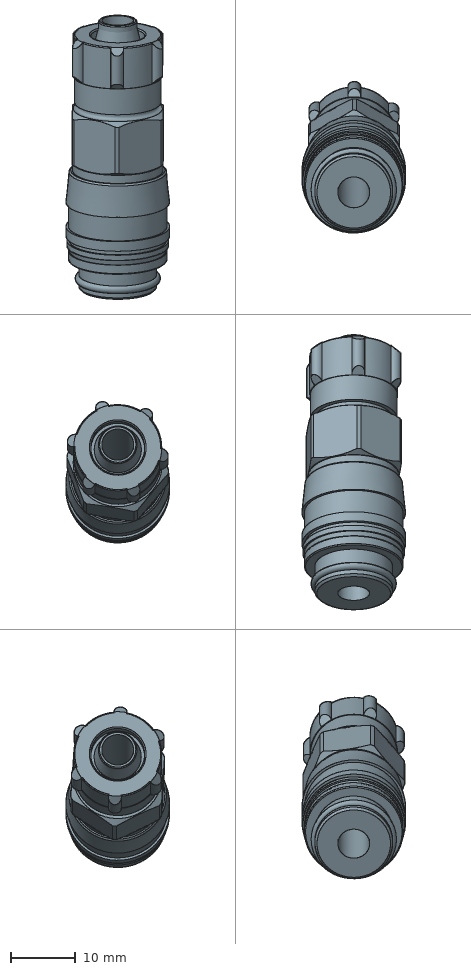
import cadquery as cq
import math

length = 43.2
bore_radius = 4.9 / 2

spigot_radius = 12.0 / 2
spigot_chamfer = 0.35
bead_start = 1.05
bead_end = 2.25
bead_radius = 6.55

sleeve_bottom = 4.6
sleeve_radius = 7.6
sleeve_edge = 0.17
lower_band_top = 6.1
groove_radius = 7.45
small_ring_bottom = 6.9
small_ring_top = 7.78
small_ring_radius = 15.7 / 2
large_ring_bottom = 8.45
large_ring_top = 10.02
outer_radius = 16 / 2
ring_gap_radius = 7.5

collar_bottom = 13.9
collar_top = 19.1
collar_top_radius = 7.5
collar_edge = 0.25

hex_bottom = 20.4
hex_top = 29.05
hex_sides = 6
hex_flats = 14.0
hex_corner_radius = 7.9
hex_end_radius = 6.85
hex_chamfer_angle = 30
hex_turn = 30

neck_radius = spigot_radius
neck_fillet = 0.5
band_bottom = 30.05
band_radius = 13.4 / 2
nut_bottom = 34.25
nut_top = 40.95
nut_radius = 6.8
nut_edge = 0.17

rib_count = 6
rib_radius = 1.0
rib_center_radius = 6.85
rib_first_angle = 30

recess_mouth_radius = 4.35
recess_radius = 8.3 / 2
recess_edge = 0.2
recess_floor = 39.3
nozzle_radius = 5.9 / 2
nozzle_cone_top = 42.15
nozzle_base_radius = 3.65
nozzle_mid_radius = 3.2
nozzle_mid_height = 41.13
nozzle_edge = 0.17


def make_turned_body():
    """Revolve everything that is round about Z, except the hexagon."""
    bead_middle = (bead_start + bead_end) / 2
    profile = (
        cq.Workplane("XZ")
        .moveTo(bore_radius, 0)
        .lineTo(spigot_radius - spigot_chamfer, 0)
        .lineTo(spigot_radius, spigot_chamfer)
        .lineTo(spigot_radius, bead_start)
        .threePointArc((bead_radius, bead_middle), (spigot_radius, bead_end))
        .lineTo(spigot_radius, sleeve_bottom)
        .lineTo(sleeve_radius - sleeve_edge, sleeve_bottom)
        .lineTo(sleeve_radius, sleeve_bottom + sleeve_edge)
        .lineTo(sleeve_radius, lower_band_top)
        .lineTo(groove_radius, lower_band_top)
        .lineTo(sleeve_radius, small_ring_bottom)
        .lineTo(small_ring_radius, small_ring_bottom)
        .lineTo(small_ring_radius, small_ring_top)
        .lineTo(ring_gap_radius, small_ring_top)
        .lineTo(ring_gap_radius, large_ring_bottom)
        .lineTo(outer_radius, large_ring_bottom)
        .lineTo(outer_radius, large_ring_top)
        .lineTo(sleeve_radius, large_ring_top)
        .lineTo(sleeve_radius, collar_bottom)
        .lineTo(outer_radius, collar_bottom)
        .lineTo(collar_top_radius, collar_top - collar_edge)
        .lineTo(collar_top_radius - collar_edge, collar_top)
        .lineTo(hex_flats / 2, collar_top)
        .lineTo(hex_flats / 2, hex_bottom)
        .lineTo(neck_radius + neck_fillet, hex_bottom)
        .lineTo(neck_radius + neck_fillet, hex_top)
        .radiusArc((neck_radius, hex_top + neck_fillet), neck_fillet)
        .lineTo(neck_radius, band_bottom)
        .lineTo(band_radius, band_bottom)
        .lineTo(band_radius, nut_bottom)
        .lineTo(nut_radius, nut_bottom)
        .lineTo(nut_radius, nut_top - nut_edge)
        .lineTo(nut_radius - nut_edge, nut_top)
        .lineTo(recess_mouth_radius, nut_top)
        .lineTo(recess_radius, nut_top - recess_edge)
        .lineTo(recess_radius, recess_floor)
        .lineTo(nozzle_base_radius, recess_floor)
        .threePointArc((nozzle_mid_radius, nozzle_mid_height), (nozzle_radius, nozzle_cone_top))
        .lineTo(nozzle_radius, length - nozzle_edge)
        .lineTo(nozzle_radius - nozzle_edge, length)
        .lineTo(bore_radius, length)
        .close()
    )
    return profile.revolve(360, (0, 0, 0), (0, 1, 0))


def make_double_chamfered_disc(bottom, top, end_radius, middle_radius, chamfer_height):
    """Cylinder that narrows conically to end_radius at both ends."""
    return (
        cq.Workplane("XZ")
        .moveTo(0, bottom)
        .lineTo(end_radius, bottom)
        .lineTo(middle_radius, bottom + chamfer_height)
        .lineTo(middle_radius, top - chamfer_height)
        .lineTo(end_radius, top)
        .lineTo(0, top)
        .close()
        .revolve(360, (0, 0, 0), (0, 1, 0))
    )


def cut_bore(solid):
    return solid.cut(cq.Workplane("XY").circle(bore_radius).extrude(length))


def make_hexagon():
    """Hexagon with two flats facing +X and -X."""
    across_corners = hex_flats / math.cos(math.pi / hex_sides)
    prism = (
        cq.Workplane("XY", origin=(0, 0, hex_bottom))
        .transformed(rotate=(0, 0, hex_turn))
        .polygon(hex_sides, across_corners)
        .extrude(hex_top - hex_bottom)
    )
    chamfer_height = (hex_corner_radius - hex_end_radius) * math.tan(math.radians(hex_chamfer_angle))
    envelope = make_double_chamfered_disc(
        hex_bottom, hex_top, hex_end_radius, hex_corner_radius, chamfer_height
    )
    return cut_bore(prism.intersect(envelope))


def make_ribs():
    """Round grip ribs whose ends slope at 45 degrees down to the nut."""
    tip_radius = rib_center_radius + rib_radius
    ribs = (
        cq.Workplane("XY", origin=(0, 0, nut_bottom))
        .polarArray(rib_center_radius, rib_first_angle, 360, rib_count)
        .circle(rib_radius)
        .extrude(nut_top - nut_bottom)
    )
    envelope = make_double_chamfered_disc(
        nut_bottom, nut_top, nut_radius, tip_radius, tip_radius - nut_radius
    )
    return ribs.intersect(envelope)


result = make_turned_body().union(make_hexagon()).union(make_ribs())